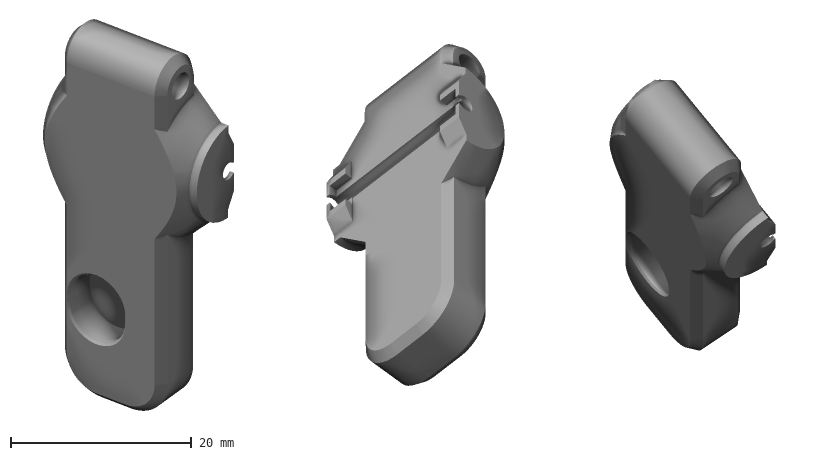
import cadquery as cq

height = 46.1
width = 14.0
depth = 7.0
back_step = 0.15
edge_chamfer = 1.0
corner_radius = 5.0
lug_radius = depth / 2
lug_hole_diameter = 3.2

hub_z = 31.15
hub_radius = 6.0
hub_left = -10.0
hub_right = 11.0
rim_width = 1.0
cone_right = hub_right - rim_width
cone_reach = 4.6
hub_wide_radius = hub_radius + cone_reach

tab_width = 3.0
tab_height = 1.0
tab_base_half = 5.0
tab_top_half = 3.05
groove_radius = 1.05
groove_mouth = 1.4
tab_end_wall = 0.5
relief_half = 2.1

pocket_x = -2.0
pocket_z = 11.9
pocket_width = 8.0
pocket_length = 9.0
pocket_depth = 4.0
pocket_chamfer = 0.25


def box_between(x0, x1, y0, y1, z0, z1):
    """Box given by its limits along each axis."""
    return cq.Workplane("XY").box(x1 - x0, y1 - y0, z1 - z0, centered=False).translate((x0, y0, z0))


def upper_body():
    """Upper half with a round lug, chamfered around both side faces."""
    lug_z = height - lug_radius
    block = (
        cq.Workplane("YZ").moveTo(0, hub_z).lineTo(0, lug_z)
        .threePointArc((lug_radius, height), (depth, lug_z))
        .lineTo(depth, hub_z).close()
        .extrude(width / 2, both=True)
    )
    return block.faces("<X or >X").edges("not <Z").chamfer(edge_chamfer)


def lug_hole():
    """Hole along X, concentric with the round lug."""
    hole = cq.Workplane("YZ").center(lug_radius, height - lug_radius).circle(lug_hole_diameter / 2)
    return hole.extrude(width, both=True)


def lower_body():
    """Lower half with rounded corners, chamfered along its front and back outlines."""
    block = box_between(-width / 2, width / 2, 0, depth - back_step, 0, hub_z)
    block = block.edges("|Y and <Z").fillet(corner_radius)
    return block.faces("<Y or >Y").edges("not >Z").chamfer(edge_chamfer)


def hub():
    """Turned hub, cut flush with the front and back faces of both body halves."""
    turned = (
        cq.Workplane("XY").moveTo(hub_left, 0).lineTo(hub_left, hub_radius)
        .lineTo(hub_left + cone_reach, hub_wide_radius)
        .lineTo(cone_right - cone_reach, hub_wide_radius)
        .lineTo(cone_right, hub_radius).lineTo(hub_right, hub_radius)
        .lineTo(hub_right, 0).close()
        .revolve(360, (0, 0, 0), (1, 0, 0))
        .translate((0, depth, hub_z))
    )
    above = box_between(hub_left, hub_right, 0, depth, hub_z, height)
    below = box_between(hub_left, hub_right, 0, depth - back_step, 0, hub_z)
    return turned.intersect(above.union(below))


def tab(left):
    """Tapered tab standing on the back of the hub, starting at X = left."""
    root_y = depth - back_step
    tip_y = depth + tab_height
    outline = [
        (root_y, hub_z - tab_base_half), (tip_y, hub_z - tab_top_half),
        (tip_y, hub_z + tab_top_half), (depth, hub_z + tab_base_half),
        (root_y, hub_z + tab_base_half),
    ]
    return cq.Workplane("YZ", origin=(left, 0, 0)).polyline(outline).close().extrude(tab_width)


def pin_groove():
    """Round groove along the hub axis with a narrower mouth through the tabs."""
    length = hub_right - hub_left
    bore = cq.Workplane("YZ", origin=(hub_left, depth, hub_z)).circle(groove_radius).extrude(length)
    mouth = box_between(
        hub_left, hub_right, depth, depth + tab_height,
        hub_z - groove_mouth / 2, hub_z + groove_mouth / 2,
    )
    return bore.union(mouth)


def tab_relief():
    """Wide opening along the groove between the thin outer end walls of the tabs."""
    return box_between(
        hub_left + tab_end_wall, hub_right - tab_end_wall, depth, depth + tab_height,
        hub_z - relief_half, hub_z + relief_half,
    )


def pocket():
    """Oval pocket with a chamfered rim."""
    rim = (
        cq.Workplane("XZ", origin=(pocket_x, 0, pocket_z))
        .slot2D(pocket_length, pocket_width, 90)
        .extrude(-pocket_chamfer, taper=45)
    )
    well = (
        cq.Workplane("XZ", origin=(pocket_x, 0, pocket_z))
        .slot2D(pocket_length - 2 * pocket_chamfer, pocket_width - 2 * pocket_chamfer, 90)
        .extrude(-pocket_depth)
    )
    return rim.union(well)


result = upper_body().union(lower_body()).union(hub())
for tab_left in (hub_left, hub_right - tab_width):
    result = result.union(tab(tab_left))
result = result.cut(lug_hole()).cut(pin_groove()).cut(tab_relief()).cut(pocket())